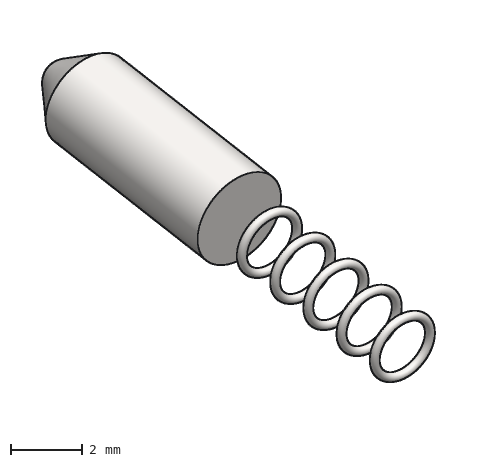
import cadquery as cq
import math

total_length = 16.0
plunger_diameter = 3.0
plunger_length = 8.5
shoulder_x = 1.63
nose_radius = 0.7
ring_count = 5
ring_row_length = 6.0
ring_outer_diameter = 2.27
wire_diameter = 0.29

plunger_radius = plunger_diameter / 2
wire_radius = wire_diameter / 2
ring_mean_radius = ring_outer_diameter / 2 - wire_radius
last_ring_x = total_length - wire_radius
first_ring_x = last_ring_x - ring_row_length
ring_pitch = ring_row_length / (ring_count - 1)


def make_plunger():
    """Solid cylinder with a conical end and a tangent spherical nose."""
    center_to_shoulder = shoulder_x - nose_radius
    distance = math.hypot(center_to_shoulder, plunger_radius)
    shoulder_angle = math.atan2(plunger_radius, center_to_shoulder)
    tangent_angle = shoulder_angle + math.acos(nose_radius / distance)

    def nose_point(angle):
        return (
            nose_radius + nose_radius * math.cos(angle),
            nose_radius * math.sin(angle),
        )

    middle_angle = (tangent_angle + math.pi) / 2
    profile = (
        cq.Workplane("XY")
        .moveTo(0, 0)
        .threePointArc(nose_point(middle_angle), nose_point(tangent_angle))
        .lineTo(shoulder_x, plunger_radius)
        .lineTo(plunger_length, plunger_radius)
        .lineTo(plunger_length, 0)
        .close()
    )
    return profile.revolve(360, (0, 0, 0), (1, 0, 0))


def make_spring_ring(center_x):
    """Round-wire ring centred on the X axis."""
    wire_section = cq.Workplane("XY").center(center_x, ring_mean_radius).circle(wire_radius)
    return wire_section.revolve(360, (0, -ring_mean_radius, 0), (1, -ring_mean_radius, 0))


plunger = make_plunger()
spring_rings = [make_spring_ring(first_ring_x + i * ring_pitch) for i in range(ring_count)]

result = cq.Compound.makeCompound([plunger.val(), *[ring.val() for ring in spring_rings]])